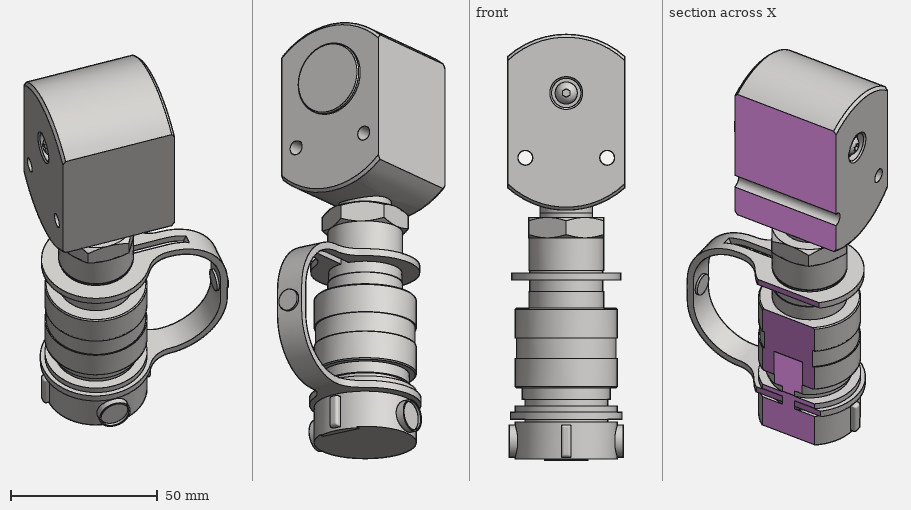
import cadquery as cq
import math


housing_width = 40.0
housing_diameter = 60.0
housing_top = 145.3
housing_front = -19.0
housing_back = 21.4
housing_chamfer = 1.0
housing_axis_z = housing_top - housing_diameter / 2
mount_hole_diameter = 5.0
mount_hole_x = 14.0
mount_hole_z = 103.1

screw_z = 125.2
recess_diameter = 10.0
recess_depth = 2.9
recess_chamfer = 0.6
head_diameter = 7.5
head_height = recess_depth
hex_socket_flats = 2.5
hex_socket_depth = 1.3
shank_diameter = 4.0
shank_length = 10.0

disc_diameter = 25.0
disc_height = 1.3
disc_chamfer = 0.5

neck_diameter = 18.0
neck_top = 90.0
neck_bottom = 84.3

hex_top = 82.8
hex_bottom = 75.8
hex_flats = 25.5
hex_chamfer_angle = 30.0
coupler_diameter = hex_flats
groove_diameter = 25.0
groove_top = 64.8
groove_bottom = 57.5

sleeve_top = 51.9
sleeve_bottom = 24.7
sleeve_diameter = 34.9
sleeve_waist_diameter = 34.0
waist_top = 41.7
waist_bottom = 34.7
sleeve_chamfer = 0.5

plug_diameter = 30.0
plug_tip_diameter = 28.3
plug_step_z = 20.8

cap_diameter = 34.9
cap_top = 18.6
cap_groove_top = 16.4
cap_groove_bottom = 13.1
cap_groove_diameter = 28.3
cap_bottom = 0.5
lip_width = 14.8
lip_inner_y = 14.7
lug_width = 3.3
lug_reach = 19.5
lug_fillet = 1.0
lug_corner_fillet = 0.5
lug_height = 11.0
badge_diameter = 11.0
badge_rim_diameter = 10.0
badge_recess_depth = 1.0
badge_reach = 19.5
grip_z = 6.5

strap_width = 10.0
strap_thickness = 2.5
upper_ring_diameter = 37.2
upper_ring_top = 63.9
lower_ring_diameter = 38.0
lower_ring_top = cap_groove_top
strap_outer_y = 45.8
strap_bend_radius = 20.6
bend_start_y = strap_outer_y - strap_bend_radius
ring_fillet = 10.0
strap_slot_width = 3.2
strap_slot_end_y = 33.1
strap_pad_diameter = 7.5
strap_pad_height = 0.9


def cylinder_z(diameter, z_low, z_high):
    """Vertical cylinder on the coupling axis."""
    return cq.Workplane("XY").workplane(offset=z_low).circle(diameter / 2).extrude(z_high - z_low)


def cylinder_y(diameter, x, z, y_low, y_high):
    """Cylinder parallel to Y, centred on (x, z)."""
    plane = cq.Plane(origin=(x, y_low, z), xDir=(1, 0, 0), normal=(0, 1, 0))
    return cq.Workplane(plane).circle(diameter / 2).extrude(y_high - y_low)


def revolve_about_z(profile):
    """Solid of revolution about the coupling axis from (radius, z) points."""
    return cq.Workplane("XZ").polyline(profile).close().revolve(360, (0, 0, 0), (0, 1, 0))


def revolve_about_y(profile, z):
    """Solid of revolution about a Y axis at height z from (radius, y) points."""
    solid = cq.Workplane("XY").polyline(profile).close().revolve(360, (0, 0, 0), (0, 1, 0))
    return solid.translate((0, 0, z))


def hexagon(flats):
    """Hexagon outline in XY with flats facing +-X."""
    corner_diameter = 2 * flats / math.sqrt(3)
    return cq.Workplane("XY").transformed(rotate=(0, 0, 90)).polygon(6, corner_diameter)


def make_housing():
    depth = housing_back - housing_front
    drum = cylinder_y(housing_diameter, 0, housing_axis_z, housing_front, housing_back)
    drum = drum.faces("<Y or >Y").chamfer(housing_chamfer)
    slab = cq.Workplane("XY").box(housing_width, depth, housing_diameter)
    slab = slab.translate((0, (housing_front + housing_back) / 2, housing_axis_z))
    body = drum.intersect(slab)
    for x in (-mount_hole_x, mount_hole_x):
        hole = cylinder_y(mount_hole_diameter, x, mount_hole_z, housing_front, housing_back)
        body = body.cut(hole)
    recess_floor = housing_front + recess_depth
    recess = cylinder_y(recess_diameter, 0, screw_z, housing_front, recess_floor)
    mouth_end = housing_front + recess_chamfer
    mouth_profile = [
        (0, housing_front),
        (recess_diameter / 2 + recess_chamfer, housing_front),
        (recess_diameter / 2, mouth_end),
        (0, mouth_end),
    ]
    mouth = revolve_about_y(mouth_profile, screw_z)
    shank_hole = cylinder_y(shank_diameter, 0, screw_z, recess_floor, recess_floor + shank_length)
    neck_socket = cylinder_z(neck_diameter, neck_bottom, neck_top)
    return body.cut(recess).cut(mouth).cut(shank_hole).cut(neck_socket)


def make_screw():
    """Domed head with a hexagon socket and a plain shank, axis along Y."""
    seat_y = housing_front + recess_depth
    top_y = seat_y - head_height
    head_radius = head_diameter / 2
    dome_radius = (head_radius ** 2 + head_height ** 2) / (2 * head_height)
    dome_centre_y = top_y + dome_radius
    half_angle = math.asin(head_radius / dome_radius) / 2
    dome_middle = (dome_radius * math.sin(half_angle), dome_centre_y - dome_radius * math.cos(half_angle))
    profile = cq.Workplane("XY").moveTo(0, top_y).threePointArc(dome_middle, (head_radius, seat_y))
    head = profile.lineTo(0, seat_y).close().revolve(360, (0, 0, 0), (0, 1, 0)).translate((0, 0, screw_z))
    shank = cylinder_y(shank_diameter, 0, screw_z, seat_y, seat_y + shank_length)
    socket = hexagon(hex_socket_flats).extrude(hex_socket_depth)
    socket = socket.rotate((0, 0, 0), (1, 0, 0), -90).translate((0, top_y, screw_z))
    return head.union(shank).cut(socket)


def make_rear_disc():
    disc = cylinder_y(disc_diameter, 0, screw_z, housing_back, housing_back + disc_height)
    return disc.faces(">Y").chamfer(disc_chamfer)


def make_neck():
    return cylinder_z(neck_diameter, neck_bottom, neck_top)


def make_coupler():
    """Hexagon with chamfered corners on a grooved round body."""
    corner_radius = hex_flats / math.sqrt(3)
    flat_radius = hex_flats / 2
    bevel = (corner_radius - flat_radius) * math.tan(math.radians(hex_chamfer_angle))
    bevelled_disc = revolve_about_z([
        (0, hex_bottom),
        (flat_radius, hex_bottom),
        (corner_radius, hex_bottom + bevel),
        (corner_radius, hex_top - bevel),
        (flat_radius, hex_top),
        (0, hex_top),
    ])
    prism = hexagon(hex_flats).extrude(hex_top - hex_bottom).translate((0, 0, hex_bottom))
    body = prism.intersect(bevelled_disc)
    body = body.union(cylinder_z(neck_diameter, hex_top, neck_bottom))
    body = body.union(cylinder_z(coupler_diameter, groove_top, hex_bottom))
    body = body.union(cylinder_z(groove_diameter, groove_bottom, groove_top))
    return body.union(cylinder_z(coupler_diameter, waist_bottom, groove_bottom))


def make_sleeve():
    sleeve = cylinder_z(sleeve_diameter, sleeve_bottom, sleeve_top)
    sleeve = sleeve.faces("<Z or >Z").chamfer(sleeve_chamfer)
    waist = cylinder_z(sleeve_diameter, waist_bottom, waist_top)
    waist = waist.cut(cylinder_z(sleeve_waist_diameter, waist_bottom, waist_top))
    coupler_bore = cylinder_z(coupler_diameter, waist_bottom, sleeve_top)
    plug_bore = cylinder_z(plug_diameter, sleeve_bottom, waist_bottom)
    return sleeve.cut(waist).cut(coupler_bore).cut(plug_bore)


def make_plug():
    """Stepped plug that fills the sleeve below the coupler and rests on the cap."""
    body = cylinder_z(plug_diameter, plug_step_z, waist_bottom)
    return body.union(cylinder_z(plug_tip_diameter, cap_top, plug_step_z))


def make_cap():
    """Spool with two upright lugs on +-Y, two round badges on +-X and a lip underneath."""
    cap = cylinder_z(cap_diameter, cap_groove_top, cap_top)
    cap = cap.union(cylinder_z(cap_groove_diameter, cap_groove_bottom, cap_groove_top))
    cap = cap.union(cylinder_z(cap_diameter, cap_bottom, cap_groove_bottom))

    lug = cq.Workplane("XY").box(lug_width, lug_reach, lug_height, centered=(True, False, True))
    lug = lug.edges("|Y").fillet(lug_corner_fillet)
    lug = lug.faces(">Y").edges().fillet(lug_fillet).translate((0, 0, grip_z))
    badge = cq.Workplane("YZ").circle(badge_diameter / 2).extrude(badge_reach)
    badge = badge.faces(">X").workplane().circle(badge_rim_diameter / 2).cutBlind(-badge_recess_depth)
    badge = badge.translate((0, 0, grip_z))
    core = cylinder_z(cap_diameter, cap_bottom, cap_groove_bottom)
    badge = badge.cut(core)
    for turn in (0, 180):
        cap = cap.union(lug.rotate((0, 0, 0), (0, 0, 1), turn))
        cap = cap.union(badge.rotate((0, 0, 0), (0, 0, 1), turn))

    lip_block = cq.Workplane("XY").box(lip_width, cap_diameter, cap_bottom, centered=(True, False, False))
    lip_block = lip_block.translate((0, lip_inner_y, 0))
    return cap.union(cylinder_z(cap_diameter, 0, cap_bottom).intersect(lip_block))


def make_strap_ring(diameter, bore, top_z):
    """Flat ring with a filleted tab that runs back to the start of the strap bend."""
    ring_radius = diameter / 2
    half_width = strap_width / 2
    fillet_x = half_width + ring_fillet
    fillet_y = math.sqrt((ring_radius + ring_fillet) ** 2 - fillet_x ** 2)
    tangent_ratio = ring_radius / (ring_radius + ring_fillet)
    tangent_x = fillet_x * tangent_ratio
    tangent_y = fillet_y * tangent_ratio
    middle_angle = math.atan2(fillet_y, fillet_x) / 2
    middle_x = fillet_x - ring_fillet * math.cos(middle_angle)
    middle_y = fillet_y - ring_fillet * math.sin(middle_angle)
    outline = (
        cq.Workplane("XY")
        .workplane(offset=top_z - strap_thickness)
        .moveTo(half_width, bend_start_y)
        .lineTo(half_width, fillet_y)
        .threePointArc((middle_x, middle_y), (tangent_x, tangent_y))
        .threePointArc((0, -ring_radius), (-tangent_x, tangent_y))
        .threePointArc((-middle_x, middle_y), (-half_width, fillet_y))
        .lineTo(-half_width, bend_start_y)
        .close()
    )
    return outline.extrude(strap_thickness).cut(cylinder_z(bore, top_z - strap_thickness, top_z))


def make_strap_band():
    """C-shaped band: two quarter bends joined by a short straight stretch."""
    lower_z = lower_ring_top - strap_thickness
    inner_radius = strap_bend_radius - strap_thickness
    inner_y = strap_outer_y - strap_thickness
    low_bend_z = lower_z + strap_bend_radius
    high_bend_z = upper_ring_top - strap_bend_radius
    outer_diagonal = strap_bend_radius / math.sqrt(2)
    outer_middle_y = bend_start_y + outer_diagonal
    inner_diagonal = inner_radius / math.sqrt(2)
    inner_middle_y = bend_start_y + inner_diagonal
    outline = (
        cq.Workplane("YZ")
        .moveTo(bend_start_y, upper_ring_top)
        .threePointArc((outer_middle_y, high_bend_z + outer_diagonal), (strap_outer_y, high_bend_z))
        .lineTo(strap_outer_y, low_bend_z)
        .threePointArc((outer_middle_y, low_bend_z - outer_diagonal), (bend_start_y, lower_z))
        .lineTo(bend_start_y, lower_ring_top)
        .threePointArc((inner_middle_y, low_bend_z - inner_diagonal), (inner_y, low_bend_z))
        .lineTo(inner_y, high_bend_z)
        .threePointArc(
            (inner_middle_y, high_bend_z + inner_diagonal),
            (bend_start_y, upper_ring_top - strap_thickness),
        )
        .close()
    )
    return outline.extrude(strap_width / 2, both=True)


def make_strap_slot():
    """Cutter for the slot from the upper ring into the bend; its far end is radial to the bend."""
    bend_z = upper_ring_top - strap_bend_radius
    end_run = strap_slot_end_y - bend_start_y
    end_rise = math.sqrt(strap_bend_radius ** 2 - end_run ** 2)
    profile = [
        (0, bend_z),
        (bend_start_y, bend_z),
        (bend_start_y + end_run * strap_bend_radius / end_rise, upper_ring_top),
        (0, upper_ring_top),
    ]
    return cq.Workplane("YZ").polyline(profile).close().extrude(strap_slot_width / 2, both=True)


def make_strap():
    """Two rings joined by the band, with a round pad standing proud on both faces of the band."""
    strap = make_strap_band()
    strap = strap.union(make_strap_ring(upper_ring_diameter, groove_diameter, upper_ring_top))
    strap = strap.union(make_strap_ring(lower_ring_diameter, cap_groove_diameter, lower_ring_top))
    pad_inner_y = strap_outer_y - strap_thickness - strap_pad_height
    pad_outer_y = strap_outer_y + strap_pad_height
    pad_z = (lower_ring_top - strap_thickness + upper_ring_top) / 2
    strap = strap.union(cylinder_y(strap_pad_diameter, 0, pad_z, pad_inner_y, pad_outer_y))
    return strap.cut(make_strap_slot())


result = cq.Compound.makeCompound([
    make_housing().val(),
    make_screw().val(),
    make_rear_disc().val(),
    make_neck().val(),
    make_coupler().val(),
    make_sleeve().val(),
    make_plug().val(),
    make_cap().val(),
    make_strap().val(),
])